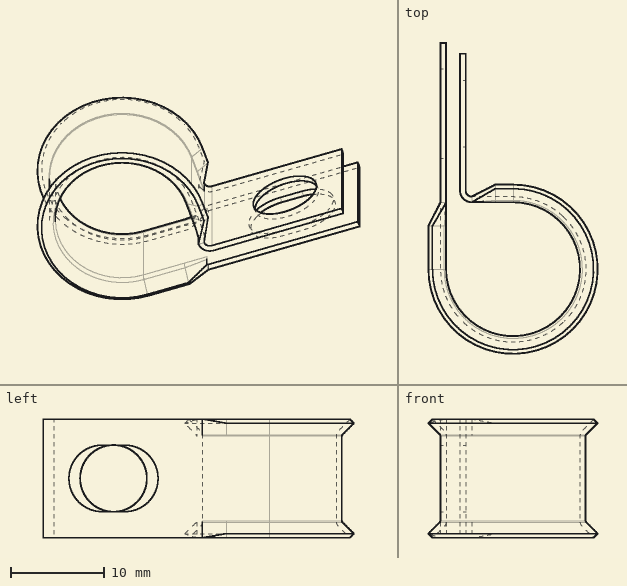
import cadquery as cq
import math

thickness = 0.63
width = 12.7
outer_length = 33.25
flare_radius = 9.058
wall_outer = 7.78
wall_inner = wall_outer - thickness
flare_bend = 0.2
flare_angle = math.radians(45)

side_flare_end = 4.62
side_flat_start = wall_inner
upper_flare_end = 1.9
upper_flat_start = 4.42

side_tab_end = outer_length - flare_radius
tab_step = 1.13
upper_tab_end = side_tab_end - tab_step
tab_bend_inner = thickness
tab_bend_outer = tab_bend_inner + thickness

hole_center = 16.65
hole_diameter = 7.1
slot_length = 9.55

half_width = width / 2
lip_offset = thickness * math.cos(flare_angle)
tip_height = half_width - lip_offset
corner_height = tip_height - (flare_radius - wall_outer) / math.tan(flare_angle)
bend_start = corner_height - flare_bend * math.tan(flare_angle / 2)


def bend_point(radius, angle):
    """Point on a lip bend, turned by angle from the straight wall."""
    center_x = wall_outer + flare_bend
    return (center_x - radius * math.cos(angle), bend_start + radius * math.sin(angle))


def mirrored(point):
    return (point[0], -point[1])


def flared_section(plane):
    """Channel section with a lip at each edge; local x is radial, local y is Z."""
    inner_bend = flare_bend + thickness
    half_angle = flare_angle / 2
    outer_mid = bend_point(flare_bend, half_angle)
    outer_end = bend_point(flare_bend, flare_angle)
    inner_mid = bend_point(inner_bend, half_angle)
    inner_end = bend_point(inner_bend, flare_angle)
    tip = (flare_radius, tip_height)
    rim = (flare_radius - lip_offset, half_width)
    return (
        cq.Workplane(plane)
        .moveTo(wall_outer, -bend_start)
        .lineTo(wall_outer, bend_start)
        .threePointArc(outer_mid, outer_end)
        .lineTo(*tip)
        .lineTo(*rim)
        .lineTo(*inner_end)
        .threePointArc(inner_mid, (wall_inner, bend_start))
        .lineTo(wall_inner, -bend_start)
        .threePointArc(mirrored(inner_mid), mirrored(inner_end))
        .lineTo(*mirrored(rim))
        .lineTo(*mirrored(tip))
        .lineTo(*mirrored(outer_end))
        .threePointArc(mirrored(outer_mid), (wall_outer, -bend_start))
        .close()
    )


def flat_section(plane):
    """Flat strip section, split at the same corners as the flared section."""
    outer_end = (wall_outer, bend_point(flare_bend, flare_angle)[1])
    inner_end = (wall_inner, bend_point(flare_bend + thickness, flare_angle)[1])
    upper_outer = [(wall_outer, bend_start), outer_end, (wall_outer, half_width)]
    upper_inner = [(wall_inner, half_width), inner_end, (wall_inner, bend_start)]
    upper = upper_outer + upper_inner
    lower = [mirrored(point) for point in reversed(upper)]
    return cq.Workplane(plane).polyline(lower[-1:] + upper + lower[:-1]).close()


def arm_plane(radial, distance):
    """Section plane across a straight arm, at a distance from the ring centre."""
    direction = cq.Vector(*radial).cross(cq.Vector(0, 0, 1))
    return cq.Plane(origin=direction * distance, xDir=radial, normal=direction)


def flared_arm(radial, sense, flare_end, flat_start):
    """Straight flared run, followed by the transition to a flat strip."""
    run = flared_section(arm_plane(radial, 0)).extrude(sense * flare_end)
    wires = [
        flared_section(arm_plane(radial, sense * flare_end)).val(),
        flat_section(arm_plane(radial, sense * flat_start)).val(),
    ]
    transition = cq.Solid.makeLoft(wires, True)
    return run.union(cq.Workplane(transition))


side_radial = (-1, 0, 0)
upper_radial = (0, 1, 0)

ring = flared_section(arm_plane(side_radial, 0)).revolve(270, (0, 0), (0, 1))
side_arm = flared_arm(side_radial, 1, side_flare_end, side_flat_start)
upper_arm = flared_arm(upper_radial, -1, upper_flare_end, upper_flat_start)

opening_plane = cq.Workplane("YZ").center(hole_center, 0)

side_tab = (
    cq.Workplane("XY", origin=(0, 0, -half_width))
    .moveTo(-wall_outer, side_flat_start)
    .lineTo(-wall_inner, side_flat_start)
    .lineTo(-wall_inner, side_tab_end)
    .lineTo(-wall_outer, side_tab_end)
    .close()
    .extrude(width)
)
slot = opening_plane.slot2D(slot_length, hole_diameter).extrude(-flare_radius)
side_tab = side_tab.cut(slot)

bend_x = -upper_flat_start
bend_y = wall_inner + tab_bend_outer
diagonal = math.sqrt(0.5)
upper_tab = (
    cq.Workplane("XY", origin=(0, 0, -half_width))
    .moveTo(bend_x, wall_inner)
    .threePointArc(
        (bend_x - tab_bend_outer * diagonal, bend_y - tab_bend_outer * diagonal),
        (bend_x - tab_bend_outer, bend_y),
    )
    .lineTo(bend_x - tab_bend_outer, upper_tab_end)
    .lineTo(bend_x - tab_bend_inner, upper_tab_end)
    .lineTo(bend_x - tab_bend_inner, bend_y)
    .threePointArc(
        (bend_x - tab_bend_inner * diagonal, bend_y - tab_bend_inner * diagonal),
        (bend_x, wall_outer),
    )
    .close()
    .extrude(width)
)
hole = opening_plane.circle(hole_diameter / 2).extrude(-flare_radius)
upper_tab = upper_tab.cut(hole)

result = ring.union(side_arm).union(upper_arm).union(side_tab).union(upper_tab)